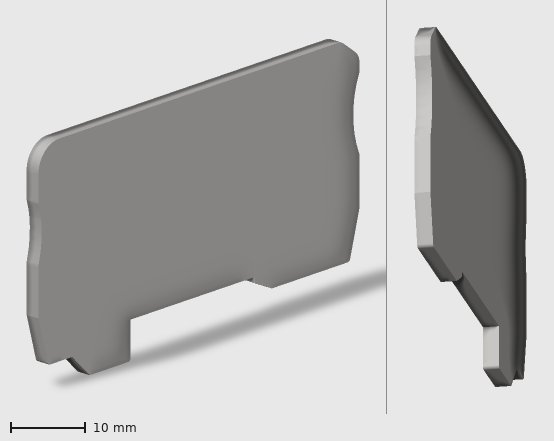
import cadquery as cq
import math

thickness = 2.2
length = 62.6
height = 35.05

back = length / 2
front = -length / 2
top = height / 2
foot_bottom = -height / 2

front_corner_radius = 4.0
bevel_length = 3.55
bevel_height = 2.75
bevel_top_radius = 1.5
bevel_side_radius = 2.0

back_hollow_centre = top - 11.0
back_hollow_half_chord = 5.8
back_hollow_depth = 1.2

front_hollow_deepest = top - 12.5
front_hollow_depth = 0.63
lower_arc_radius = 16.0
upper_arc_radius = 12.5
arc_join_rise = 1.95
hollow_upper_blend = 1.2
hollow_lower_blend = 2.0

taper_top = top - 24.5
base = top - 31.6
taper_angle = 15.0
base_corner_radius = 0.5
notch_roof = top - 29.15
notch_back = back - 20.4
notch_front = back - 44.65
notch_lip_bottom = top - 30.0
ramp_start = back - 17.1
foot_front = front + 10.0
foot_corner_radius = 0.4

taper_inset = (taper_top - base) * math.tan(math.radians(taper_angle))
foot_chamfer = base - foot_bottom


def front_hollow_points():
    """Return start, middle, join, middle and end points of the two hollow arcs, from the bottom up."""
    floor = front + front_hollow_depth
    lower_centre_y = floor - lower_arc_radius
    join_angle = math.asin(arc_join_rise / lower_arc_radius)
    start_angle = -math.acos((front - lower_centre_y) / lower_arc_radius)

    centre_shift = lower_arc_radius - upper_arc_radius
    upper_centre_y = lower_centre_y + centre_shift * math.cos(join_angle)
    upper_centre_z = front_hollow_deepest + centre_shift * math.sin(join_angle)
    end_angle = math.acos((front - upper_centre_y) / upper_arc_radius)

    def on_lower(angle):
        return (
            lower_centre_y + lower_arc_radius * math.cos(angle),
            front_hollow_deepest + lower_arc_radius * math.sin(angle),
        )

    def on_upper(angle):
        return (
            upper_centre_y + upper_arc_radius * math.cos(angle),
            upper_centre_z + upper_arc_radius * math.sin(angle),
        )

    return (
        on_lower(start_angle),
        on_lower((start_angle + join_angle) / 2),
        on_lower(join_angle),
        on_upper((join_angle + end_angle) / 2),
        on_upper(end_angle),
    )


hollow_start, lower_mid, arc_join, upper_mid, hollow_end = front_hollow_points()


def make_plate():
    """Extrude the outline, with sharp corners, symmetrically about X = 0."""
    return (
        cq.Workplane("YZ")
        .moveTo(front, top)
        .lineTo(back - bevel_length, top)
        .lineTo(back, top - bevel_height)
        .lineTo(back, back_hollow_centre + back_hollow_half_chord)
        .threePointArc(
            (back - back_hollow_depth, back_hollow_centre),
            (back, back_hollow_centre - back_hollow_half_chord),
        )
        .lineTo(back, taper_top)
        .lineTo(back - taper_inset, base)
        .lineTo(ramp_start, base)
        .lineTo(notch_back, notch_lip_bottom)
        .lineTo(notch_back, notch_roof)
        .lineTo(notch_front, notch_roof)
        .lineTo(notch_front, foot_bottom)
        .lineTo(foot_front, foot_bottom)
        .lineTo(foot_front - foot_chamfer, base)
        .lineTo(front + taper_inset, base)
        .lineTo(front, taper_top)
        .lineTo(*hollow_start)
        .threePointArc(lower_mid, arc_join)
        .threePointArc(upper_mid, hollow_end)
        .close()
        .extrude(thickness / 2, both=True)
    )


def round_corner(plate, corner, radius):
    """Fillet the through-thickness edge at the given (Y, Z) corner of the outline."""
    edge = cq.selectors.NearestToPointSelector((0, *corner))
    return plate.edges("|X").edges(edge).fillet(radius)


corner_radii = [
    ((front, top), front_corner_radius),
    ((back - bevel_length, top), bevel_top_radius),
    ((back, top - bevel_height), bevel_side_radius),
    ((back - taper_inset, base), base_corner_radius),
    ((front + taper_inset, base), base_corner_radius),
    ((notch_front, foot_bottom), foot_corner_radius),
    (hollow_start, hollow_lower_blend),
    (hollow_end, hollow_upper_blend),
]

result = make_plate()
for corner, radius in corner_radii:
    result = round_corner(result, corner, radius)